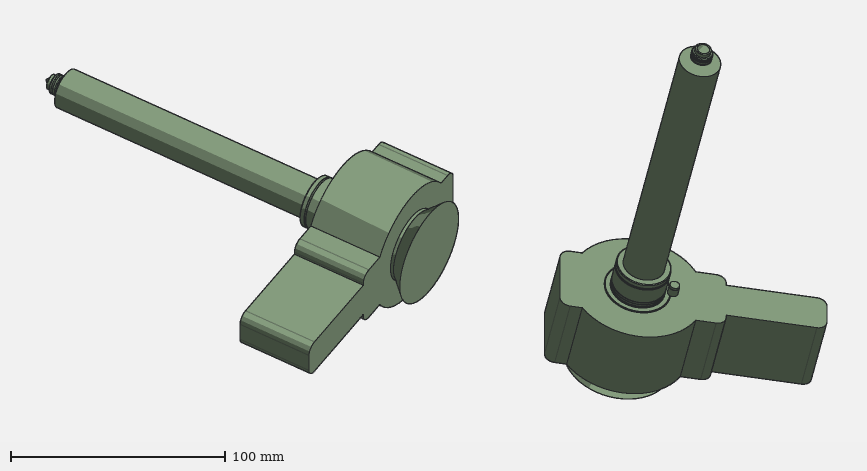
import cadquery as cq

tip_length = 7.8
shaft_cone_start = 8.5
shaft_cone_end = 11.0
collar_start = 147.7
handle_front = 163.0
handle_thickness = 38.0
handle_back = handle_front + handle_thickness
overall_length = 211.0

point_length = 2.7
point_radius = 3.0
nose_radius = 3.8
tip_ring_start = 4.6
tip_ring_radius = 5.0
tip_ring_chamfer = 0.5
tip_groove_start = 6.0
tip_groove_width = 0.8
tip_groove_depth = 0.2

shaft_radius = 10.0

collar_radius = 13.0
collar_chamfer = 0.5
collar_groove_depth = 0.2
front_groove_offset = 2.5
front_groove_width = 0.8
rear_groove_offset = 12.0
rear_groove_width = 1.3
face_relief_width = 0.8

sleeve_radius = 15.8
sleeve_chamfer = 0.5

screw_radius = 2.5
screw_offset = 16.7
screw_projection = 6.5
screw_depth = 10.5
screw_point_length = 1.3
screw_neck_radius = 2.3
screw_neck_length = 1.3

hub_diameter = 64.0
hub_radius = hub_diameter / 2
corner_radius = 4.9
rear_lobe_end = 37.0
rear_lobe_half_height = 18.1
front_lobe_end = -42.2
front_lobe_half_height = 16.0
lever_end = -90.0
lever_half_height = 10.0

neck_radius = 18.4
neck_length = 1.7
flare_radius = 26.0


def turned(points):
    """Solid of revolution about X from (x, radius) points, swept from the -Y side."""
    profile = [(x, -radius) for x, radius in points]
    return cq.Workplane("XY").polyline(profile).close().revolve(360, (0, 0, 0), (1, 0, 0))


def rod(radius, start, end):
    """Cylinder along the shaft axis."""
    return cq.Workplane("YZ").workplane(offset=start).circle(radius).extrude(end - start)


def groove_cutter(radius, depth, start, width):
    """Ring that cuts a groove into a cylinder of the given radius."""
    return rod(radius + depth, start, start + width).cut(rod(radius - depth, start, start + width))


def make_tip():
    body = turned([
        (0, 0),
        (point_length, point_radius),
        (point_length, nose_radius),
        (tip_ring_start, nose_radius),
        (tip_ring_start, tip_ring_radius - tip_ring_chamfer),
        (tip_ring_start + tip_ring_chamfer, tip_ring_radius),
        (tip_length, tip_ring_radius),
        (tip_length, 0),
    ])
    return body.cut(groove_cutter(tip_ring_radius, tip_groove_depth, tip_groove_start, tip_groove_width))


def make_shaft():
    return turned([
        (tip_length, 0),
        (tip_length, tip_ring_radius),
        (shaft_cone_start, tip_ring_radius),
        (shaft_cone_end, shaft_radius),
        (handle_back, shaft_radius),
        (handle_back, 0),
    ])


def make_collar():
    body = rod(collar_radius, collar_start, handle_back).faces("<X").chamfer(collar_chamfer)
    grooves = [
        (collar_start + front_groove_offset, front_groove_width),
        (collar_start + rear_groove_offset, rear_groove_width),
        (handle_front - face_relief_width, face_relief_width),
    ]
    for start, width in grooves:
        body = body.cut(groove_cutter(collar_radius, collar_groove_depth, start, width))
    return body.cut(rod(shaft_radius, collar_start, handle_back))


def make_screw():
    start = handle_front - screw_projection
    neck_end = start + screw_point_length + screw_neck_length
    body = turned([
        (start, 0),
        (start + screw_point_length, screw_neck_radius),
        (neck_end, screw_neck_radius),
        (neck_end, screw_radius),
        (handle_front + screw_depth, screw_radius),
        (handle_front + screw_depth, 0),
    ])
    return body.translate((0, -screw_offset, 0))


def make_sleeve(screw):
    body = rod(sleeve_radius, handle_front, handle_back).faces("<X").chamfer(sleeve_chamfer)
    return body.cut(rod(collar_radius, handle_front, handle_back)).cut(screw)


def handle_block(y_start, y_end, half_height):
    """Block across the handle thickness, between two Y values."""
    return (
        cq.Workplane("XY")
        .box(handle_thickness, abs(y_end - y_start), 2 * half_height)
        .translate((handle_front + handle_thickness / 2, (y_start + y_end) / 2, 0))
    )


def make_handle(screw):
    rear_lobe = handle_block(0, rear_lobe_end, rear_lobe_half_height)
    front_lobe = handle_block(0, front_lobe_end, front_lobe_half_height)
    lever = handle_block(0, lever_end, lever_half_height)
    body = (
        rod(hub_radius, handle_front, handle_back)
        .union(rear_lobe.edges("|X and >Y").fillet(corner_radius))
        .union(front_lobe.edges("|X and <Y").fillet(corner_radius))
        .union(lever.edges("|X and <Y").fillet(corner_radius))
    )
    return body.cut(rod(sleeve_radius, handle_front, handle_back)).cut(screw)


def make_knob():
    return turned([
        (handle_back, 0),
        (handle_back, neck_radius),
        (handle_back + neck_length, neck_radius),
        (overall_length, flare_radius),
        (overall_length, 0),
    ])


tip = make_tip()
shaft = make_shaft()
collar = make_collar()
screw = make_screw()
sleeve = make_sleeve(screw)
handle = make_handle(screw)
knob = make_knob()

result = cq.Compound.makeCompound([
    tip.val(), shaft.val(), collar.val(), screw.val(), sleeve.val(), handle.val(), knob.val(),
])